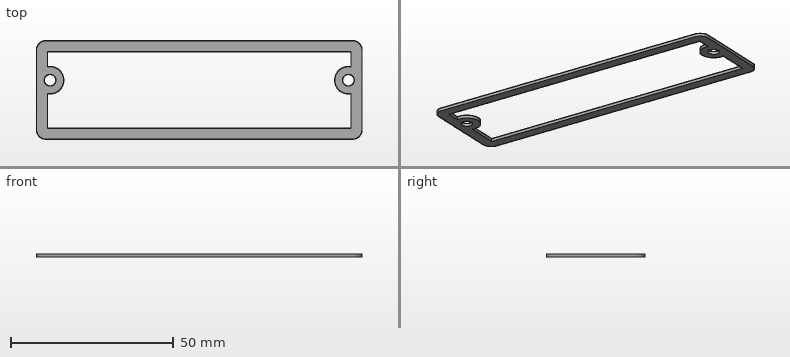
import cadquery as cq

length = 100.5
width = 30.5
thickness = 1.0
corner_radius = 3.0

frame_width = 3.5
window_length = length - 2 * frame_width
window_width = width - 2 * frame_width

lug_radius = 4.25
screw_hole_diameter = 3.5
lug_spacing = 92.0
lug_offset_y = 3.0
lug_centers = [(side * lug_spacing / 2, lug_offset_y) for side in (-1, 1)]


def make_frame():
    """Flat rectangular ring with rounded outer and sharp inner corners."""
    plate = cq.Workplane("XY").rect(length, width).extrude(thickness)
    plate = plate.edges("|Z").fillet(corner_radius)
    window = cq.Workplane("XY").rect(window_length, window_width).extrude(thickness)
    return plate.cut(window)


def make_discs(radius):
    """Full-thickness discs at the lug centres."""
    return cq.Workplane("XY").pushPoints(lug_centers).circle(radius).extrude(thickness)


lugs = make_discs(lug_radius)
screw_holes = make_discs(screw_hole_diameter / 2)
result = make_frame().union(lugs).cut(screw_holes)